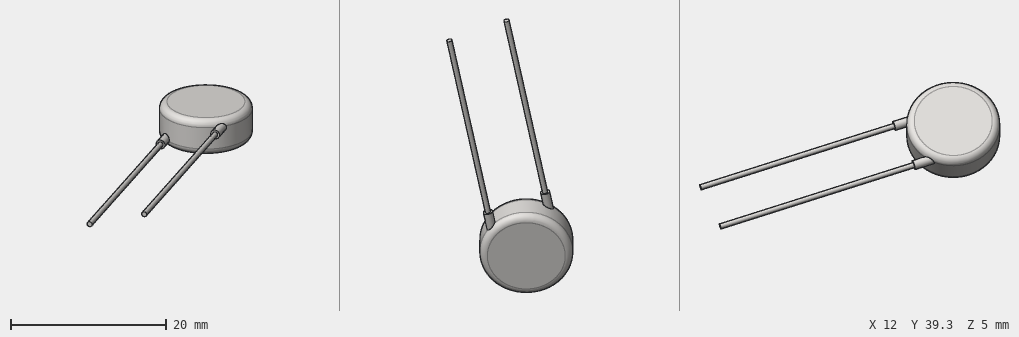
import cadquery as cq

OVERALL_LENGTH = 39.25
DISC_DIAMETER = 12.0
DISC_THICKNESS = 5.0
DISC_EDGE_RADIUS = 1.0

LEAD_DIAMETER = 0.7
LEAD_PITCH_X = 7.5
LEAD_PITCH_Z = 2.6

COLLAR_DIAMETER = 1.2
COLLAR_END_FROM_AXIS = 6.75

LEAD_TIP_FROM_AXIS = OVERALL_LENGTH - DISC_DIAMETER / 2
LEAD_LENGTH = LEAD_TIP_FROM_AXIS - COLLAR_END_FROM_AXIS

LEAD_POSITIONS = [(side * LEAD_PITCH_X / 2, side * LEAD_PITCH_Z / 2) for side in (-1, 1)]


def rod_toward_front(x, z, diameter, start_from_axis, length):
    """Round rod along -Y, starting at the given distance in front of the disc axis."""
    start_plane = cq.Plane(origin=(x, -start_from_axis, z), xDir=(1, 0, 0), normal=(0, -1, 0))
    return cq.Workplane(start_plane).circle(diameter / 2).extrude(length)


def make_coating():
    """Rounded disc with a collar of the same material reaching out around each lead root."""
    coating = (
        cq.Workplane("XY", origin=(0, 0, -DISC_THICKNESS / 2))
        .circle(DISC_DIAMETER / 2)
        .extrude(DISC_THICKNESS)
        .edges("%CIRCLE")
        .fillet(DISC_EDGE_RADIUS)
    )
    for x, z in LEAD_POSITIONS:
        coating = coating.union(rod_toward_front(x, z, COLLAR_DIAMETER, 0, COLLAR_END_FROM_AXIS))
    return coating


def make_lead(x, z):
    """Straight wire from the end face of its collar to the tip."""
    return rod_toward_front(x, z, LEAD_DIAMETER, COLLAR_END_FROM_AXIS, LEAD_LENGTH)


coating = make_coating()
leads = [make_lead(x, z) for x, z in LEAD_POSITIONS]

result = cq.Compound.makeCompound([coating.val(), *[lead.val() for lead in leads]])